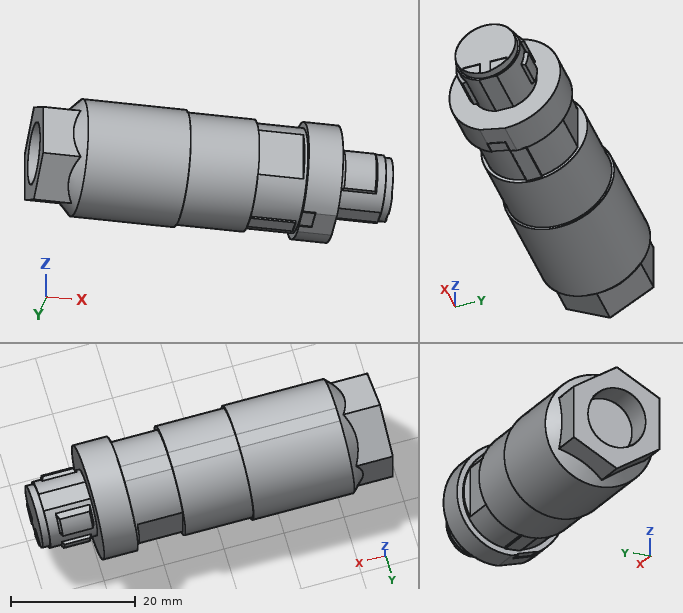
import cadquery as cq
import math

length = 57.85

hex_across_flats = 14.9
hex_across_corners = hex_across_flats / math.cos(math.radians(30))
bore_diameter = 10.05
bore_depth = 5.6

body_radius = 9.5
body_start = 7.0
body_end = 23.8
sleeve_radius = 9.1
sleeve_end = 35.05
neck_radius = 8.5
flange_start = 43.1
flange_end = 48.7
nose_radius = 5.5
nose_end = 56.5
tip_radius = 5.15
tip_pad_height = 0.1
tip_end = length - tip_pad_height

cone_start_radius = hex_across_flats / 2
cone_start = body_start - (body_radius - cone_start_radius)

body_flat_width = 2.3
sleeve_flat_width = 2.65
nose_flat_width = 3.0

wrench_flat_distance = 14.85
wrench_flat_end = 42.6

rib_width = 2.65
rib_bottom = 8.75
flange_flat_edge = 8.45
flange_pocket_bottom = 9.2
flange_pocket_length = 2.1
flange_pocket_depth = 0.2

lug_radius = 6.1
lug_slope = 0.35
front_lug_start = 49.4
front_lug_end = 55.15
front_lug_half_height = 3.5
back_lug_start = 49.1
back_lug_end = 54.8
back_lug_bottom = 2.6
back_lug_top = 5.0
side_lug_start = 49.75
side_lug_end = 54.65
side_lug_bottom = -2.3
side_lug_top = 0.3

pad_top = -3.1
pad_inner_y = 0.85
pad_outer_y = 3.7


def block(x_range, y_range, z_range):
    """Axis-aligned block between the given limits."""
    sizes = [high - low for low, high in (x_range, y_range, z_range)]
    corner = (x_range[0], y_range[0], z_range[0])
    return cq.Workplane("XY").box(*sizes, centered=False).translate(corner)


def cylinder(x_start, x_end, radius):
    """Solid cylinder on the X axis."""
    return cq.Workplane("YZ").workplane(offset=x_start).circle(radius).extrude(x_end - x_start)


def flatted_cylinder(x_start, x_end, radius, flat_width, flat_below=False):
    """Cylinder with a flat of the given width on top, and optionally below."""
    flat_height = math.sqrt(radius**2 - (flat_width / 2) ** 2)
    bottom = -flat_height if flat_below else -radius
    limits = block((x_start, x_end), (-radius, radius), (bottom, flat_height))
    return cylinder(x_start, x_end, radius).intersect(limits)


def hexagonal_end():
    """Hexagon with two corners on the vertical, joined to the cone behind it."""
    hexagon = (
        cq.Workplane("YZ")
        .transformed(rotate=(0, 0, 90))
        .polygon(6, hex_across_corners)
        .extrude(body_start)
    )
    cone = (
        cq.Workplane("XY")
        .moveTo(cone_start, 0)
        .lineTo(cone_start, cone_start_radius)
        .lineTo(body_start, body_radius)
        .lineTo(body_start, 0)
        .close()
        .revolve(360, (0, 0, 0), (1, 0, 0))
    )
    return hexagon.union(cone)


def neck():
    """Neck with a top flat, two wrench flats and a rib below."""
    stage = flatted_cylinder(sleeve_end, flange_start, neck_radius, sleeve_flat_width)
    flat_y = wrench_flat_distance / 2
    for y_range in ((-neck_radius, -flat_y), (flat_y, neck_radius)):
        stage = stage.cut(block((sleeve_end, wrench_flat_end), y_range, (-neck_radius, neck_radius)))
    rib = block((sleeve_end, wrench_flat_end), (-rib_width / 2, rib_width / 2), (-rib_bottom, 0))
    return stage.union(rib)


def flange():
    """Flange with a slanted flat low on the -Y side and a shallow pocket in it."""
    disc = cylinder(flange_start, flange_end, body_radius)
    edge_y = -math.sqrt(body_radius**2 - flange_flat_edge**2)

    cut_bottom = body_radius + flange_pocket_length

    def slanted_cut(x_end, bottom, depth):
        share = (bottom - flange_flat_edge) / (body_radius - flange_flat_edge)
        return (
            cq.Workplane("YZ")
            .workplane(offset=flange_start)
            .moveTo(edge_y, -flange_flat_edge + depth)
            .lineTo(edge_y * (1 - share), -bottom + depth)
            .lineTo(edge_y * (1 - share), -cut_bottom)
            .lineTo(edge_y, -cut_bottom)
            .close()
            .extrude(x_end - flange_start)
        )

    flat = slanted_cut(flange_end, body_radius, 0)
    pocket_end = flange_start + flange_pocket_length
    pocket = slanted_cut(pocket_end, flange_pocket_bottom, flange_pocket_depth)
    return disc.cut(flat).cut(pocket)


def lug(x_start, x_end, y_range, z_range):
    """Sector of a ring with sloped ends, cut off by flat upper and lower faces."""
    ring = (
        cq.Workplane("XY")
        .moveTo(x_start, 0)
        .lineTo(x_start, nose_radius)
        .lineTo(x_start + lug_slope, lug_radius)
        .lineTo(x_end - lug_slope, lug_radius)
        .lineTo(x_end, nose_radius)
        .lineTo(x_end, 0)
        .close()
        .revolve(360, (0, 0, 0), (1, 0, 0))
    )
    return ring.intersect(block((x_start, x_end), y_range, z_range))


def tip():
    """Reduced end cylinder with two thin pads on its face."""
    end = cylinder(nose_end, tip_end, tip_radius)
    face_layer = cylinder(tip_end, length, tip_radius)
    for y_range in ((-pad_outer_y, -pad_inner_y), (pad_inner_y, pad_outer_y)):
        pad_limits = block((tip_end, length), y_range, (-tip_radius, pad_top))
        end = end.union(face_layer.intersect(pad_limits))
    return end


front_lug = lug(
    front_lug_start,
    front_lug_end,
    (-lug_radius, 0),
    (-front_lug_half_height, front_lug_half_height),
)
back_lug = lug(back_lug_start, back_lug_end, (0, lug_radius), (back_lug_bottom, back_lug_top))
side_lug = lug(side_lug_start, side_lug_end, (0, lug_radius), (side_lug_bottom, side_lug_top))

stages = (
    flatted_cylinder(body_start, body_end, body_radius, body_flat_width),
    flatted_cylinder(body_end, sleeve_end, sleeve_radius, sleeve_flat_width),
    neck(),
    flange(),
    flatted_cylinder(flange_end, nose_end, nose_radius, nose_flat_width, flat_below=True),
    front_lug,
    back_lug,
    side_lug,
    tip(),
)

result = hexagonal_end()
for stage in stages:
    result = result.union(stage)
result = result.cut(cylinder(0, bore_depth, bore_diameter / 2))